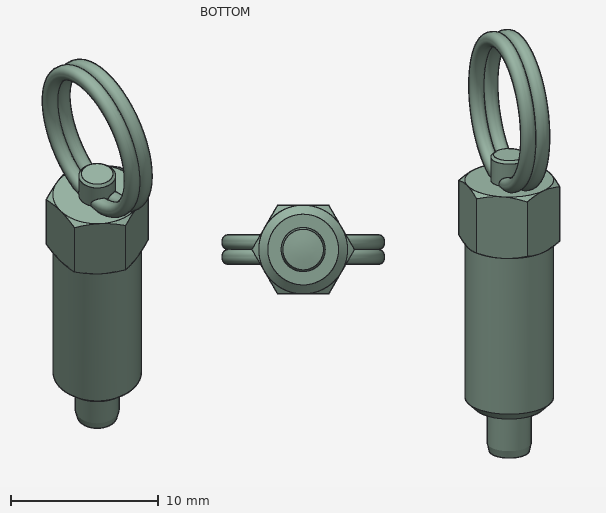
import cadquery as cq
import math

total_height = 30.48

pin_radius = 1.5
nose_length = 0.67
nose_end_radius = 1.37
nose_dome_height = 0.12

sleeve_diameter = 6.0
sleeve_bottom = 3.4
sleeve_chamfer = 0.6

hex_across_flats = sleeve_diameter
hex_bottom = 15.42
hex_height = 4.5
hex_chamfer_angle = 30.0

button_radius = 1.25
button_top = 21.8
button_chamfer = 0.18

ring_outer_diameter = 11.0
wire_width = 1.0
wire_corner_radius = 0.43

sleeve_radius = sleeve_diameter / 2
ring_outer_radius = ring_outer_diameter / 2
hex_top = hex_bottom + hex_height
hex_corner_radius = hex_across_flats / 2 / math.cos(math.pi / 6)
corner_drop = (hex_corner_radius - sleeve_radius) * math.tan(math.radians(hex_chamfer_angle))
coil_radius = ring_outer_radius - wire_width / 2
ring_center_z = total_height - ring_outer_radius


def make_turned_core():
    """Pin, sleeve and button as one revolved profile around Z."""
    dome_sphere_radius = (nose_end_radius**2 + nose_dome_height**2) / (2 * nose_dome_height)
    dome_mid_radius = nose_end_radius / 2
    dome_mid_z = dome_sphere_radius - math.sqrt(dome_sphere_radius**2 - dome_mid_radius**2)
    return (
        cq.Workplane("XZ")
        .threePointArc((dome_mid_radius, dome_mid_z), (nose_end_radius, nose_dome_height))
        .lineTo(pin_radius, nose_length)
        .lineTo(pin_radius, sleeve_bottom)
        .lineTo(sleeve_radius - sleeve_chamfer, sleeve_bottom)
        .lineTo(sleeve_radius, sleeve_bottom + sleeve_chamfer)
        .lineTo(sleeve_radius, hex_top)
        .lineTo(button_radius, hex_top)
        .lineTo(button_radius, button_top - button_chamfer)
        .lineTo(button_radius - button_chamfer, button_top)
        .lineTo(0, button_top)
        .close()
        .revolve(360, (0, 0), (0, 1))
    )


def make_hex_head():
    """Hexagon with its corners along X, chamfered conically at both ends."""
    prism = (
        cq.Workplane("XY")
        .workplane(offset=hex_bottom)
        .polygon(6, 2 * hex_corner_radius)
        .extrude(hex_height)
    )
    chamfer_envelope = (
        cq.Workplane("XZ")
        .polyline([
            (0, hex_bottom),
            (sleeve_radius, hex_bottom),
            (hex_corner_radius, hex_bottom + corner_drop),
            (hex_corner_radius, hex_top - corner_drop),
            (sleeve_radius, hex_top),
            (0, hex_top),
        ])
        .close()
        .revolve(360, (0, 0), (0, 1))
    )
    return prism.intersect(chamfer_envelope)


def make_coil(y):
    """One closed coil of rounded-square wire, centred at the given Y and turned about a Y axis."""
    wire_section = (
        cq.Sketch()
        .rect(wire_width, wire_width)
        .vertices()
        .fillet(wire_corner_radius)
    )
    return (
        cq.Workplane("XY", origin=(coil_radius, y, ring_center_z))
        .placeSketch(wire_section)
        .revolve(360, (-coil_radius, 0), (-coil_radius, 1))
    )


def make_ring():
    """Two coils side by side, joined along their touching flats."""
    front_coil = make_coil(-wire_width / 2)
    rear_coil = make_coil(wire_width / 2)
    return front_coil.union(rear_coil)


def make_plunger(ring):
    """Plunger body with a matching passage for the ring."""
    return make_turned_core().union(make_hex_head()).cut(ring)


split_ring = make_ring()
plunger = make_plunger(split_ring)
result = cq.Compound.makeCompound([*plunger.solids().vals(), *split_ring.solids().vals()])